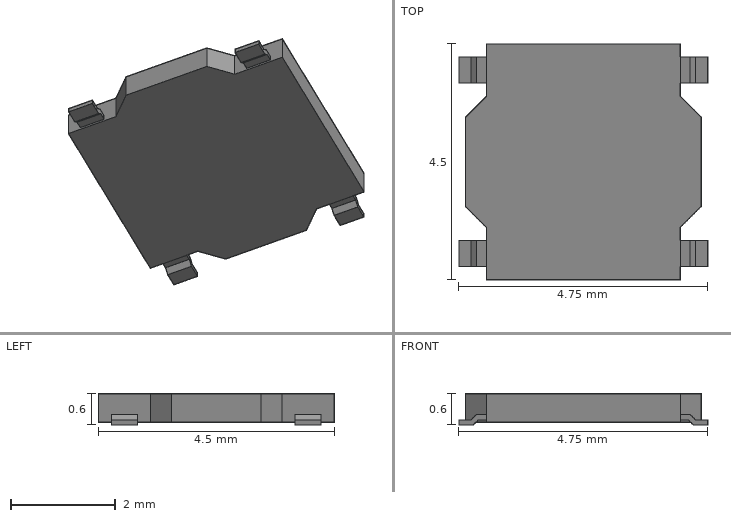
import math

import cadquery as cq

body_size = 4.5
height = 0.6
standoff = 0.05
shoulder = 0.4
wing_base_length = 2.5
wing_tip_length = wing_base_length - 2 * shoulder

lead_span = 4.75
lead_width = 0.5
lead_pitch = 3.5
lead_thickness = 0.1
lead_rise = 0.1
foot_length = 0.235
bend_angle = 45
lead_embed = 0.1

neck_x = body_size / 2 - shoulder
lead_tip_x = lead_span / 2

bend_run = lead_rise / math.tan(math.radians(bend_angle))
underside_shift = lead_thickness * math.tan(math.radians(bend_angle / 2))


def make_body():
    """Flat block with a tapered wing in the middle of each X side."""
    half = body_size / 2
    base = wing_base_length / 2
    tip = wing_tip_length / 2
    right_side = [(neck_x, -half), (neck_x, -base), (half, -tip), (half, tip), (neck_x, base), (neck_x, half)]
    left_side = [(-x, -y) for x, y in right_side]
    outline = cq.Workplane("XY").workplane(offset=standoff).polyline(right_side + left_side).close()
    return outline.extrude(height - standoff)


def make_lead(y_center):
    """Gull-wing lead on the +X side, its inner end buried in the body."""
    inner_x = neck_x - lead_embed
    top_bend_x = lead_tip_x - foot_length
    bottom_bend_x = top_bend_x - underside_shift
    profile = [
        (lead_tip_x, 0),
        (lead_tip_x, lead_thickness),
        (top_bend_x, lead_thickness),
        (top_bend_x - bend_run, lead_thickness + lead_rise),
        (inner_x, lead_thickness + lead_rise),
        (inner_x, lead_rise),
        (bottom_bend_x - bend_run, lead_rise),
        (bottom_bend_x, 0),
    ]
    section = cq.Workplane("XZ", origin=(0, y_center + lead_width / 2, 0)).polyline(profile).close()
    return section.extrude(lead_width)


result = make_body()
for y_center in (-lead_pitch / 2, lead_pitch / 2):
    lead = make_lead(y_center)
    result = result.union(lead).union(lead.mirror("YZ"))